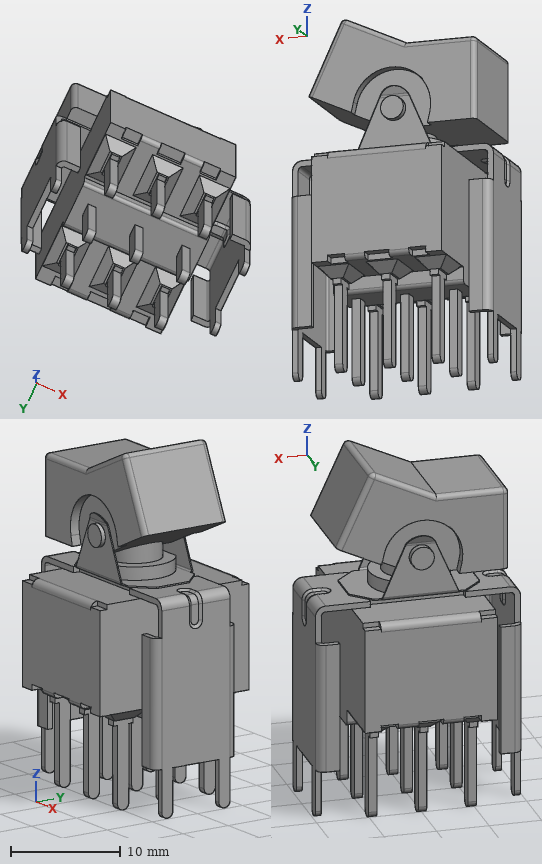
import cadquery as cq
import math

HEIGHT = 33.58
DIAGONAL = math.sqrt(0.5)

CASE_X = 12.63
CASE_Y = 16.52
CASE_BOTTOM = 9.65
CASE_TOP = 20.18
CASE_TOP_RADIUS = 0.75
END_X = 1.55
END_STEP_Y = 0.77
END_STEP_Z = 0.47
LIP_NOTCH_HEIGHT = 0.57
LIP_NOTCH_DEPTH = 1.0
LIP_INNER_X = 1.18
LIP_OUTER_X = 3.12
LIP_RADIUS = 0.47
BAR_Y = 4.7
BAR_BOTTOM = 8.1
BAR_RADIUS = 0.37

PIN_PITCH_X = 4.75
PIN_PITCH_Y = 4.8
PIN_SHIFT_Y = -0.1
PIN_X = 0.8
PIN_Y = 1.25
SHOULDER_Y = 2.15
SHOULDER_BOTTOM = 8.13
POTTING_BOTTOM = 8.65
POTTING_TOP_X = 3.1
POTTING_TOP_Y = 4.3
POTTING_BOTTOM_X = 1.2

SHEET = 0.57
BRACKET_X = 19.55
BRACKET_Y = 7.6
BRACKET_TOP = CASE_TOP + SHEET
BRACKET_RADIUS = 0.97
BRACKET_FOOT = 4.7
LEG_Y = 1.25
RELIEF_X = 9.05
RELIEF_DEPTH = 0.67
FLAP_TOP = 17.2
FLAP_REACH = 2.1
FLAP_RADIUS = 0.77
BEAD_WIDTH = 1.45
BEAD_FLOOR = 0.8
BEAD_DEPTH = 0.2
BEAD_BOTTOM = 17.53
BEAD_INNER_END = 7.25

YOKE_SHEET = 0.15
YOKE_X = 12.45
YOKE_CORNER = 1.88
YOKE_TOP = BRACKET_TOP + YOKE_SHEET
EAR_OUTER_Y = 4.0
EAR_BEND = 0.3
EAR_BASE_X = 7.45
EAR_TIP_DIA = 3.2
EAR_TOP = 26.9
EAR_FLARE_BOTTOM = 26.05
EAR_FLARE_OUT = 0.4
EAR_FLARE_RADIUS = 0.5

PIVOT_X = -0.2
PIVOT_Z = 24.78
PIVOT_PIN_DIA = 2.2
PIVOT_PIN_END_Y = 4.55
BUSHING_RADIUS = 3.8
BUSHING_Y = 6.5
BUSHING_TOP = 22.15
NECK_DIA = 5.2
NECK_TOP = 24.18
ROCKER_Y = 9.25
ROCKER_SHIFT_Y = 0.1
ROCKER_TILT = 12.5
ROCKER_WALL = 8.2
ROCKER_BELOW = 1.8
ROCKER_RADIUS = 0.5
WING_SLOPE = math.radians(2 * ROCKER_TILT)
TIP_RISE = HEIGHT - PIVOT_Z - ROCKER_RADIUS - (ROCKER_WALL - ROCKER_RADIUS) * math.sin(WING_SLOPE)
ROCKER_ABOVE = ROCKER_RADIUS + TIP_RISE / math.cos(WING_SLOPE)
EAR_POCKET_RADIUS = 3.8
EAR_POCKET_FLOOR_Y = 3.65


def box(x_size, y_size, z_bottom, z_top, x=0, y=0):
    """Box centred on (x, y) between two heights."""
    height = z_top - z_bottom
    return cq.Workplane("XY").box(x_size, y_size, height).translate((x, y, (z_bottom + z_top) / 2))


def mirrored(solid, plane):
    """The solid joined with its mirror image."""
    return solid.union(solid.mirror(plane))


def make_lip(y_side):
    """Downward lip between two lower notches, rounded along its outer edge."""
    outer_edge = ">Y and <Z" if y_side > 0 else "<Y and <Z"
    lip = box(LIP_OUTER_X - LIP_INNER_X, LIP_NOTCH_DEPTH, CASE_BOTTOM, CASE_BOTTOM + LIP_NOTCH_HEIGHT)
    return lip.edges(outer_edge).fillet(LIP_RADIUS)


def make_case():
    """Round-topped middle, two square-cornered stepped ends, and a bar under the floor."""
    middle_x = CASE_X - 2 * END_X
    case = box(middle_x, CASE_Y, CASE_BOTTOM, CASE_TOP).edges("|X and >Z").fillet(CASE_TOP_RADIUS)
    notch_y = (CASE_Y - LIP_NOTCH_DEPTH) / 2
    lip_x = (LIP_INNER_X + LIP_OUTER_X) / 2
    for y_side in (-1, 1):
        notch = box(middle_x, LIP_NOTCH_DEPTH, CASE_BOTTOM, CASE_BOTTOM + LIP_NOTCH_HEIGHT)
        case = case.cut(notch.translate((0, y_side * notch_y, 0)))
        for x_side in (-1, 1):
            case = case.union(make_lip(y_side).translate((x_side * lip_x, y_side * notch_y, 0)))

    end_x = (CASE_X - END_X) / 2
    end = box(END_X, CASE_Y, CASE_BOTTOM, CASE_TOP - END_STEP_Z, end_x)
    end = end.union(box(END_X, CASE_Y - 2 * END_STEP_Y, CASE_BOTTOM, CASE_TOP, end_x))
    bar = box(CASE_X, BAR_Y, BAR_BOTTOM, CASE_BOTTOM, 0, PIN_SHIFT_Y).edges("|X and <Z").fillet(BAR_RADIUS)
    return case.union(mirrored(end, "YZ")).union(bar)


def round_tip_blade(x_size, y_size, z_top):
    """Flat blade from z = 0 up, with a half-round lower end."""
    tip_radius = y_size / 2
    blade = box(x_size, y_size, tip_radius, z_top)
    tip = cq.Workplane("YZ").center(0, tip_radius).circle(tip_radius).extrude(x_size / 2, both=True)
    return blade.union(tip)


def make_terminal():
    potting = (
        cq.Workplane("XY", origin=(0, 0, POTTING_BOTTOM))
        .rect(POTTING_BOTTOM_X, SHOULDER_Y)
        .workplane(offset=CASE_BOTTOM - POTTING_BOTTOM)
        .rect(POTTING_TOP_X, POTTING_TOP_Y)
        .loft(ruled=True)
    )
    shoulder = box(PIN_X, SHOULDER_Y, SHOULDER_BOTTOM, POTTING_BOTTOM)
    return potting.union(shoulder).union(round_tip_blade(PIN_X, PIN_Y, SHOULDER_BOTTOM))


def bead(surface_x, surface_z, bend_radius):
    """Tapered bead running inward from a bent surface on the -X side, with conical ends."""
    half_width = BEAD_WIDTH / 2
    half_floor = BEAD_FLOOR / 2
    low_end = (-surface_x, BEAD_BOTTOM + half_width)
    high_end = (-BEAD_INNER_END - half_width, surface_z)
    bend_step = bend_radius * (1 - DIAGONAL)
    path = (
        cq.Workplane("XZ")
        .moveTo(*low_end)
        .lineTo(-surface_x, surface_z - bend_radius)
        .threePointArc((-surface_x + bend_step, surface_z - bend_step), (-surface_x + bend_radius, surface_z))
        .lineTo(*high_end)
    )
    channel = (
        cq.Workplane("XY", origin=(low_end[0], 0, low_end[1]))
        .polyline([(0, -half_width), (BEAD_DEPTH, -half_floor), (BEAD_DEPTH, half_floor), (0, half_width)])
        .close()
        .sweep(path)
    )
    for end, inward in ((low_end, (1, 0, 0)), (high_end, (0, 0, -1))):
        base = cq.Vector(end[0], 0, end[1])
        cone = cq.Solid.makeCone(half_width, half_floor, BEAD_DEPTH, base, cq.Vector(*inward))
        channel = channel.union(cq.Workplane(cone))
    return channel


def make_flap():
    """Side flap at the -X, -Y corner, bent round a vertical edge."""
    outer_x = -BRACKET_X / 2
    outer_y = -BRACKET_Y / 2 - FLAP_RADIUS
    inner_radius = FLAP_RADIUS - SHEET
    bend_x = outer_x + FLAP_RADIUS
    bend_y = outer_y + FLAP_RADIUS
    return (
        cq.Workplane("XY", origin=(0, 0, BRACKET_FOOT))
        .moveTo(outer_x, bend_y)
        .threePointArc((bend_x - FLAP_RADIUS * DIAGONAL, bend_y - FLAP_RADIUS * DIAGONAL), (bend_x, outer_y))
        .lineTo(outer_x + FLAP_REACH, outer_y)
        .lineTo(outer_x + FLAP_REACH, outer_y + SHEET)
        .lineTo(bend_x, outer_y + SHEET)
        .threePointArc((bend_x - inner_radius * DIAGONAL, bend_y - inner_radius * DIAGONAL),
                       (outer_x + SHEET, bend_y))
        .close()
        .extrude(FLAP_TOP - BRACKET_FOOT)
    )


def make_bracket():
    inner_x = BRACKET_X - 2 * SHEET
    outside = box(BRACKET_X, BRACKET_Y, BRACKET_FOOT, BRACKET_TOP).edges("|Y and >Z").fillet(BRACKET_RADIUS)
    inside = box(inner_x, BRACKET_Y, BRACKET_FOOT, CASE_TOP).edges("|Y and >Z").fillet(BRACKET_RADIUS - SHEET)
    bracket = outside.cut(inside)
    for y_side in (-1, 1):
        relief_y = y_side * (BRACKET_Y - RELIEF_DEPTH) / 2
        bracket = bracket.cut(box(RELIEF_X, RELIEF_DEPTH, CASE_TOP, BRACKET_TOP, 0, relief_y))
    leg_y = (BRACKET_Y - LEG_Y) / 2
    leg = round_tip_blade(SHEET, LEG_Y, BRACKET_FOOT).translate(((SHEET - BRACKET_X) / 2, -leg_y, 0))
    bracket = bracket.union(mirrored(mirrored(leg.union(make_flap()), "XZ"), "YZ"))
    swelling = bead(inner_x / 2, CASE_TOP, BRACKET_RADIUS - SHEET)
    groove = bead(BRACKET_X / 2, BRACKET_TOP, BRACKET_RADIUS)
    return bracket.union(mirrored(swelling, "YZ")).cut(mirrored(groove, "YZ"))


def make_ear():
    """Ear on the -Y side: bent up from the yoke plate, flared outward at its tip."""
    bend_y = EAR_OUTER_Y - EAR_BEND
    bend_z = BRACKET_TOP + EAR_BEND
    inner_bend = EAR_BEND - YOKE_SHEET
    inner_y = EAR_OUTER_Y - YOKE_SHEET
    flare_y = EAR_OUTER_Y + EAR_FLARE_OUT
    sheet = (
        cq.Workplane("YZ")
        .moveTo(0, BRACKET_TOP)
        .lineTo(-bend_y, BRACKET_TOP)
        .threePointArc((-bend_y - EAR_BEND * DIAGONAL, bend_z - EAR_BEND * DIAGONAL), (-EAR_OUTER_Y, bend_z))
        .lineTo(-EAR_OUTER_Y, EAR_FLARE_BOTTOM)
        .lineTo(-flare_y, EAR_TOP)
        .lineTo(-flare_y + YOKE_SHEET, EAR_TOP)
        .lineTo(-inner_y, EAR_FLARE_BOTTOM)
        .lineTo(-inner_y, bend_z)
        .threePointArc((-bend_y - inner_bend * DIAGONAL, bend_z - inner_bend * DIAGONAL), (-bend_y, YOKE_TOP))
        .lineTo(0, YOKE_TOP)
        .close()
        .extrude(EAR_BASE_X / 2, both=True)
    )
    for flare_edge_y in (-EAR_OUTER_Y, -inner_y):
        flare_edge = cq.selectors.NearestToPointSelector((0, flare_edge_y, EAR_FLARE_BOTTOM))
        sheet = sheet.edges(flare_edge).fillet(EAR_FLARE_RADIUS)
    tip_radius = EAR_TIP_DIA / 2
    tip_z = EAR_TOP - tip_radius
    base_x = EAR_BASE_X / 2
    rise = tip_z - BRACKET_TOP
    side_angle = math.acos(tip_radius / math.hypot(base_x, rise)) - math.atan2(rise, base_x)
    tangent_x = tip_radius * math.cos(side_angle)
    tangent_z = tip_z + tip_radius * math.sin(side_angle)
    outline = (
        cq.Workplane("XZ")
        .moveTo(-base_x, BRACKET_TOP)
        .lineTo(-tangent_x, tangent_z)
        .threePointArc((0, EAR_TOP), (tangent_x, tangent_z))
        .lineTo(base_x, BRACKET_TOP)
        .close()
        .extrude(EAR_OUTER_Y + EAR_FLARE_OUT)
    )
    return sheet.intersect(outline)


def make_yoke():
    plate_y = 2 * (EAR_OUTER_Y - EAR_BEND)
    plate = box(YOKE_X, plate_y, BRACKET_TOP, YOKE_TOP).edges("|Z").chamfer(YOKE_CORNER)
    return plate.union(mirrored(make_ear(), "XZ")).translate((PIVOT_X, 0, 0))


def make_bushing():
    slab = box(2 * BUSHING_RADIUS, BUSHING_Y, BRACKET_TOP, BUSHING_TOP)
    collar = cq.Workplane("XY", origin=(0, 0, BRACKET_TOP)).circle(BUSHING_RADIUS)
    collar = collar.extrude(BUSHING_TOP - BRACKET_TOP).intersect(slab)
    neck = cq.Workplane("XY", origin=(0, 0, BRACKET_TOP)).circle(NECK_DIA / 2).extrude(NECK_TOP - BRACKET_TOP)
    return collar.union(neck).translate((PIVOT_X, 0, 0))


def make_rocker():
    """V-shaped rocker about its pivot, turned so that one wing lies level."""
    tilt = math.radians(ROCKER_TILT)

    def wing_corner(wall, height):
        """Corner of the +X wing, turned up from level by the tilt."""
        x = wall * math.cos(tilt) - height * math.sin(tilt)
        z = wall * math.sin(tilt) + height * math.cos(tilt)
        return (x, z)

    top_right = wing_corner(ROCKER_WALL, ROCKER_ABOVE)
    bottom_right = wing_corner(ROCKER_WALL, -ROCKER_BELOW)
    outline = [
        (0, ROCKER_ABOVE / math.cos(tilt)),
        top_right,
        bottom_right,
        (0, -ROCKER_BELOW / math.cos(tilt)),
        (-bottom_right[0], bottom_right[1]),
        (-top_right[0], top_right[1]),
    ]
    half_y = ROCKER_Y / 2
    rocker = cq.Workplane("XZ").polyline(outline).close().extrude(half_y, both=True)
    underside_z = bottom_right[1]
    rounded = [
        edge for edge in rocker.edges().vals()
        if edge.Center().z > underside_z and abs(edge.Center().x) > ROCKER_RADIUS
    ]
    rocker = rocker.newObject(rounded).fillet(ROCKER_RADIUS)

    pocket_depth = half_y - EAR_POCKET_FLOOR_Y
    pocket = (
        cq.Workplane("XZ", origin=(0, -EAR_POCKET_FLOOR_Y, 0))
        .moveTo(-EAR_POCKET_RADIUS, 0)
        .threePointArc((0, EAR_POCKET_RADIUS), (EAR_POCKET_RADIUS, 0))
        .lineTo(EAR_POCKET_RADIUS, -2 * ROCKER_BELOW)
        .lineTo(-EAR_POCKET_RADIUS, -2 * ROCKER_BELOW)
        .close()
        .extrude(pocket_depth)
    )
    rocker = rocker.cut(mirrored(pocket, "XZ"))
    pivot_pin = cq.Workplane("XZ").circle(PIVOT_PIN_DIA / 2).extrude(PIVOT_PIN_END_Y, both=True)
    rocker = rocker.union(pivot_pin)
    return rocker.rotate((0, 0, 0), (0, 1, 0), -ROCKER_TILT).translate((PIVOT_X, ROCKER_SHIFT_Y, PIVOT_Z))


terminal = make_terminal()
result = make_case().union(make_bracket()).union(make_yoke()).union(make_bushing()).union(make_rocker())
for column in (-1, 0, 1):
    for row in (-1, 0, 1):
        result = result.union(terminal.translate((column * PIN_PITCH_X, row * PIN_PITCH_Y + PIN_SHIFT_Y, 0)))